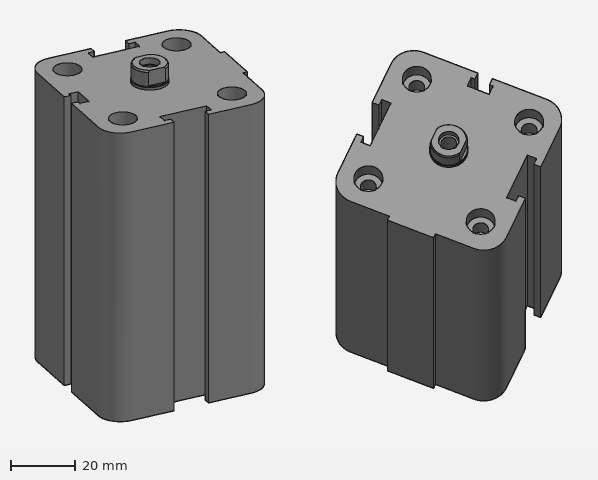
import cadquery as cq

OVERALL_HEIGHT = 107.0
HOUSING_WIDTH = 57.0
ROD_PROJECTION = 6.6
HOUSING_HEIGHT = OVERALL_HEIGHT - ROD_PROJECTION
CORNER_RADIUS = 7.7

RIB_WIDTH = 15.6
RIB_HEIGHT = 1.5

LIP_THICKNESS = 2.4
SIDE_MOUTH_WIDTH = 12.0
SIDE_CHANNEL_WIDTH = 16.3
SIDE_SLOT_DEPTH = 5.5
FRONT_MOUTH_WIDTH = 4.9
FRONT_CHANNEL_WIDTH = 7.4
FRONT_SLOT_DEPTH = 5.5

MOUNT_PITCH = 38.0
MOUNT_DIAMETER = 4.9
COUNTERBORE_DIAMETER = 9.0
COUNTERBORE_DEPTH = 5.6
MOUNT_DEPTH = 11.8

SHAFT_DIAMETER = 12.0
SHAFT_INSERTION = 10.7
SHAFT_PROJECTION = 1.2
SHOULDER_CHAMFER_HEIGHT = 0.3
HEAD_DIAMETER = 11.7
HEAD_CHAMFER_HEIGHT = 0.6
HEAD_CHAMFER_WIDTH = 0.3
FLAT_SPACING = 10.0
FLAT_START = 1.4
BORE_DIAMETER = 4.9
BORE_DEPTH = 10.7
BORE_MOUTH_DIAMETER = 6.3
BORE_MOUTH_DEPTH = 2.2


def t_slot(mouth_width, channel_width, depth):
    """Full-height T-slot cutter, open at the front (-Y) face of the housing."""
    face_y = -HOUSING_WIDTH / 2
    mouth = cq.Workplane("XY").center(0, face_y + depth / 2).rect(mouth_width, depth).extrude(HOUSING_HEIGHT)
    channel_depth = depth - LIP_THICKNESS
    channel = (
        cq.Workplane("XY")
        .center(0, face_y + LIP_THICKNESS + channel_depth / 2)
        .rect(channel_width, channel_depth)
        .extrude(HOUSING_HEIGHT)
    )
    return mouth.union(channel)


def make_housing():
    body = (
        cq.Workplane("XY")
        .rect(HOUSING_WIDTH, HOUSING_WIDTH)
        .extrude(HOUSING_HEIGHT)
        .edges("|Z")
        .fillet(CORNER_RADIUS)
    )

    rib_length = HOUSING_WIDTH / 2 + RIB_HEIGHT
    rib = cq.Workplane("XY").center(0, rib_length / 2).rect(RIB_WIDTH, rib_length).extrude(HOUSING_HEIGHT)
    body = body.union(rib)

    body = body.cut(t_slot(FRONT_MOUTH_WIDTH, FRONT_CHANNEL_WIDTH, FRONT_SLOT_DEPTH))
    side_slot = t_slot(SIDE_MOUTH_WIDTH, SIDE_CHANNEL_WIDTH, SIDE_SLOT_DEPTH)
    for angle in (-90, 90):
        body = body.cut(side_slot.rotate((0, 0, 0), (0, 0, 1), angle))

    body = (
        body.faces(">Z")
        .workplane(origin=(0, 0, HOUSING_HEIGHT))
        .rect(MOUNT_PITCH, MOUNT_PITCH, forConstruction=True)
        .vertices()
        .cboreHole(MOUNT_DIAMETER, COUNTERBORE_DIAMETER, COUNTERBORE_DEPTH, MOUNT_DEPTH)
    )

    return body.faces(">Z").workplane(origin=(0, 0, HOUSING_HEIGHT)).hole(SHAFT_DIAMETER, SHAFT_INSERTION)


def make_rod():
    shoulder_width = (SHAFT_DIAMETER - HEAD_DIAMETER) / 2
    shaft = (
        cq.Workplane("XY", origin=(0, 0, HOUSING_HEIGHT - SHAFT_INSERTION))
        .circle(SHAFT_DIAMETER / 2)
        .extrude(SHAFT_INSERTION + SHAFT_PROJECTION)
        .faces(">Z")
        .chamfer(SHOULDER_CHAMFER_HEIGHT, shoulder_width)
    )
    head = (
        shaft.faces(">Z")
        .workplane()
        .circle(HEAD_DIAMETER / 2)
        .extrude(ROD_PROJECTION - SHAFT_PROJECTION, combine=False)
        .faces(">Z")
        .chamfer(HEAD_CHAMFER_HEIGHT, HEAD_CHAMFER_WIDTH)
    )
    rod = shaft.union(head)

    flat_height = ROD_PROJECTION - FLAT_START
    for side in (-1, 1):
        cutter_x = side * (FLAT_SPACING + HEAD_DIAMETER) / 2
        flat_cutter = (
            cq.Workplane("XY", origin=(cutter_x, 0, HOUSING_HEIGHT + FLAT_START))
            .rect(HEAD_DIAMETER, HEAD_DIAMETER)
            .extrude(flat_height)
        )
        rod = rod.cut(flat_cutter)

    return (
        rod.faces(">Z")
        .workplane(origin=(0, 0, OVERALL_HEIGHT))
        .cboreHole(BORE_DIAMETER, BORE_MOUTH_DIAMETER, BORE_MOUTH_DEPTH, BORE_DEPTH)
    )


housing = make_housing()
rod = make_rod()

result = cq.Compound.makeCompound([housing.val(), rod.val()])